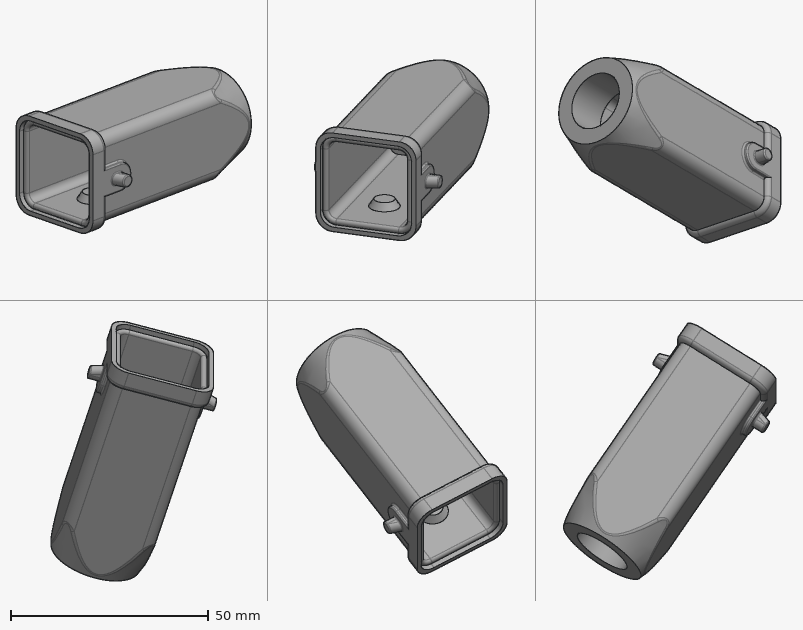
import cadquery as cq

LENGTH = 60
BODY_SIZE = 24.3
BODY_CORNER = 3.1

FLANGE_SIZE = 27
FLANGE_CORNER = 4.5
FLANGE_LENGTH = 5.3
FLANGE_ROUND = 1.3

CONE_END_RADIUS = 11.75
CONE_SLOPE = 0.32
CONE_EDGE_ROUND = 1.3

CAVITY_SIZE = 21.2
CAVITY_CORNER = 2.15
END_WALL = 12
CABLE_HOLE_DIAMETER = 15.1
SEAL_WIDTH = 1.7
SEAL_DEPTH = 1.0
RECESS_SIZE = CAVITY_SIZE + 2 * SEAL_WIDTH
RECESS_CORNER = CAVITY_CORNER + SEAL_WIDTH
RECESS_DEPTH = SEAL_DEPTH + SEAL_WIDTH / 2

LUG_CENTER_Y = 10.3
LUG_RADIUS = 3.8
LUG_EDGE_ROUND = 0.35
LUG_BASE_ROUND = 0.5

PIN_SPAN = 33.4
PIN_DIAMETER = 3.25
PIN_CENTER_Y = 9.55
PIN_BASE_STRETCH = 1.1
PIN_TIP_STRETCH = 0.05
PIN_TIP_ROUND = 0.35
PIN_FOOT_ROUND = 0.25

BOSS_CENTER_Y = 14.05
BOSS_BASE_RADIUS = 4.0
BOSS_TOP_RADIUS = 2.7
BOSS_HEIGHT = 2.0

OVERLAP = 0.6
MARGIN = 0.05


def rounded_prism(size, corner, start, end):
    """Square bar along Y with rounded long edges, from y = start to y = end."""
    return (
        cq.Workplane("XZ", origin=(0, start, 0))
        .rect(size, size)
        .extrude(start - end)
        .edges("|Y")
        .fillet(corner)
    )


def make_body():
    """Long body trimmed by a cone at the cable end."""
    body = rounded_prism(BODY_SIZE, BODY_CORNER, 0, LENGTH)
    cone_mouth_radius = CONE_END_RADIUS + CONE_SLOPE * LENGTH
    cone = (
        cq.Workplane("XY")
        .moveTo(0, 0)
        .lineTo(cone_mouth_radius, 0)
        .lineTo(CONE_END_RADIUS, LENGTH)
        .lineTo(0, LENGTH)
        .close()
        .revolve(360, (0, 0, 0), (0, 1, 0))
    )
    trimmed = body.intersect(cone)
    return trimmed.faces("%CONE").edges("not >Y").fillet(CONE_EDGE_ROUND)


def make_flange():
    flange = rounded_prism(FLANGE_SIZE, FLANGE_CORNER, 0, FLANGE_LENGTH)
    return flange.faces(">Y").edges().fillet(FLANGE_ROUND)


def make_lug():
    """Lug on the +X side, running from the flange to a round end."""
    height = FLANGE_SIZE / 2 - CAVITY_SIZE / 2 - OVERLAP
    lug = (
        cq.Workplane("YZ", origin=(FLANGE_SIZE / 2 - height, 0, 0))
        .moveTo(OVERLAP, -LUG_RADIUS)
        .lineTo(LUG_CENTER_Y, -LUG_RADIUS)
        .threePointArc((LUG_CENTER_Y + LUG_RADIUS, 0), (LUG_CENTER_Y, LUG_RADIUS))
        .lineTo(OVERLAP, LUG_RADIUS)
        .close()
        .extrude(height)
    )
    return lug.faces(">X").edges("not <Y").fillet(LUG_EDGE_ROUND)


def make_pin():
    """Pin on the +X side: nearly round tip, foot stretched towards the mouth."""
    reach = (PIN_SPAN - FLANGE_SIZE) / 2
    pin = (
        cq.Workplane("YZ", origin=(FLANGE_SIZE / 2, 0, 0))
        .center(PIN_CENTER_Y - PIN_BASE_STRETCH / 2, 0)
        .slot2D(PIN_DIAMETER + PIN_BASE_STRETCH, PIN_DIAMETER)
        .workplane(offset=reach)
        .center((PIN_BASE_STRETCH - PIN_TIP_STRETCH) / 2, 0)
        .slot2D(PIN_DIAMETER + PIN_TIP_STRETCH, PIN_DIAMETER)
        .loft(ruled=True)
    )
    return pin.faces(">X").edges().fillet(PIN_TIP_ROUND)


def make_seal():
    """Round ring seated in the mouth recess; its front half stands proud as a bead."""
    middle_size = CAVITY_SIZE + SEAL_WIDTH
    middle_corner = CAVITY_CORNER + SEAL_WIDTH / 2
    path = rounded_prism(middle_size, middle_corner, RECESS_DEPTH, LENGTH).faces("<Y").wires()
    section = cq.Workplane("XY", origin=(middle_size / 2, RECESS_DEPTH, 0)).circle(SEAL_WIDTH / 2)
    return section.sweep(path)


def make_boss():
    floor = -CAVITY_SIZE / 2
    return (
        cq.Workplane("XY", origin=(0, BOSS_CENTER_Y, floor))
        .circle(BOSS_BASE_RADIUS)
        .workplane(offset=BOSS_HEIGHT)
        .circle(BOSS_TOP_RADIUS)
        .loft()
    )


def make_lug_with_pin():
    lug = make_lug().union(make_pin())
    around_pin = cq.selectors.BoxSelector(
        (FLANGE_SIZE / 2 - MARGIN, PIN_CENTER_Y - PIN_DIAMETER, -PIN_DIAMETER / 2 - MARGIN),
        (FLANGE_SIZE / 2 + MARGIN, PIN_CENTER_Y + PIN_DIAMETER, PIN_DIAMETER / 2 + MARGIN),
    )
    return lug.edges(around_pin).fillet(PIN_FOOT_ROUND)


def add_lugs(body):
    lug = make_lug_with_pin()
    body = body.union(lug).union(lug.mirror("YZ"))
    for side in (-1, 1):
        foot_x = side * BODY_SIZE / 2
        lug_foot = cq.selectors.BoxSelector(
            (foot_x - MARGIN, OVERLAP + MARGIN, -LUG_RADIUS - MARGIN),
            (foot_x + MARGIN, LUG_CENTER_Y + LUG_RADIUS + MARGIN, LUG_RADIUS + MARGIN),
        )
        body = body.edges(lug_foot).fillet(LUG_BASE_ROUND)
    return body


result = add_lugs(make_body()).union(make_flange())

result = result.cut(rounded_prism(RECESS_SIZE, RECESS_CORNER, 0, RECESS_DEPTH))
result = result.union(make_seal())

result = result.cut(rounded_prism(CAVITY_SIZE, CAVITY_CORNER, RECESS_DEPTH, LENGTH - END_WALL))
cable_hole = cq.Workplane("XZ").circle(CABLE_HOLE_DIAMETER / 2).extrude(-LENGTH)
result = result.cut(cable_hole).union(make_boss())